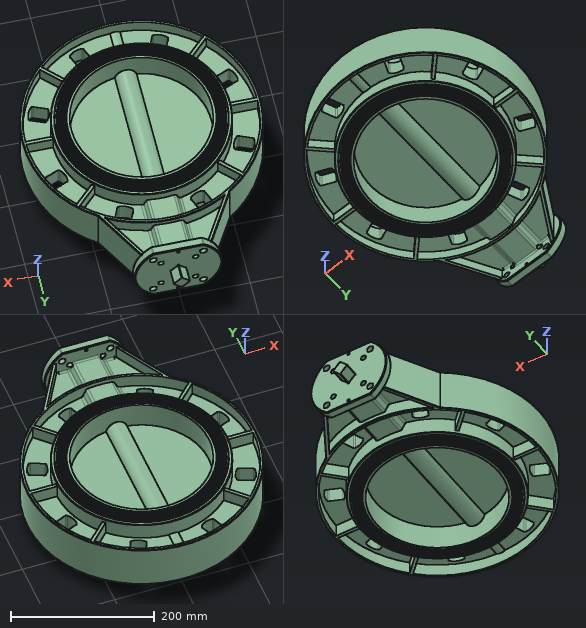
import cadquery as cq
import math


RING_DIAMETER = 339.5
RIM_HALF_HEIGHT = 34.5
RIM_WIDTH = 4.2
WEB_HALF_THICKNESS = 14.5
EDGE_CHAMFER = 1.0

SLEEVE_DIAMETER = 254.0
SLEEVE_HALF_HEIGHT = 40.5

RIB_THICKNESS = 5.0
RIB_ANGLES = (0, 45, 135, 180, 225, 315)

SLOT_COUNT = 8
SLOT_CIRCLE_RADIUS = 145.5
SLOT_LENGTH = 28.8
SLOT_WIDTH = 23.0
SLOT_END_RADIUS = 25.0
SLOT_CORNER_RADIUS = 2.5

LINER_DIAMETER = 244.0
LINER_HALF_HEIGHT = 44.5
LINER_EDGE_CHAMFER = 1.0
BORE_DIAMETER = 200.0
GROOVE_COUNT = 6
GROOVE_PITCH = 2.6
GROOVE_WIDTH = 1.3
GROOVE_DEPTH = 1.3
GROOVES_INNER_RADIUS = 104.5

DISC_THICKNESS = 7.5
HUB_DIAMETER = 32.0

STEM_WIDTH = 17.0
STEM_EDGE_CHAMFER = 1.0
OVERALL_LENGTH = 423.0
STEM_BOTTOM = -139.5

FLANGE_DIAMETER = 124.8
FLANGE_HEIGHT = 102.0
FLANGE_TOP = 231.5
FLANGE_THICKNESS = 13.0
FLANGE_CORNER_RADIUS = 2.5
FLANGE_EDGE_CHAMFER = 1.3
FLANGE_FILLET = 2.5
OUTER_BOLT_OFFSET = 36.0
OUTER_BOLT_DIAMETER = 10.0
INNER_BOLT_OFFSET = 24.75
INNER_BOLT_DIAMETER = 8.0
PIN_HOLE_OFFSET = 45.3
PIN_HOLE_DIAMETER = 4.0

NECK_HALF_HEIGHT = 27.0
NECK_TOP_HALF_WIDTH = 20.5
NECK_FOOT_HALF_WIDTH = 26.2
NECK_FILLET = 4.2
BLEND_HALF_WIDTH = 41.5

WALL_THICKNESS = 5.0
WALL_TOP_HALF_WIDTH = 50.5
WALL_FOOT_HALF_WIDTH = 94.5

PICK_MARGIN = 0.5

RING_RADIUS = RING_DIAMETER / 2
RIM_MIDDLE_RADIUS = RING_RADIUS - RIM_WIDTH / 2
RIM_INNER_RADIUS = RING_RADIUS - RIM_WIDTH
BORE_RADIUS = BORE_DIAMETER / 2
FLANGE_HALF_HEIGHT = FLANGE_HEIGHT / 2
STEM_TOP = OVERALL_LENGTH - RING_RADIUS
FLANGE_BOTTOM = FLANGE_TOP - FLANGE_THICKNESS
WALL_FOOT_Y = math.sqrt(RING_RADIUS**2 - WALL_FOOT_HALF_WIDTH**2)


def disc_of(diameter, half_height):
    """A cylinder about Z, centred on the origin."""
    return cq.Workplane("XY").circle(diameter / 2).extrude(half_height, both=True)


def chamfered_disc(diameter, half_height, chamfer):
    return disc_of(diameter, half_height).faces("<Z or >Z").edges().chamfer(chamfer)


def slab(points, half_height):
    """A polygon in XY, extruded to both sides of the middle plane."""
    return cq.Workplane("XY").polyline(points).close().extrude(half_height, both=True)


def along_y(start, length):
    """A sketch plane across the Y axis at Y = start, and the depth that extrudes it toward +Y."""
    return cq.Workplane("XZ", origin=(0, start, 0)), -length


def stem_bar():
    """The square stem, its edges pointing along X and Z."""
    plane, depth = along_y(STEM_BOTTOM, STEM_TOP - STEM_BOTTOM)
    bar = plane.transformed(rotate=(0, 0, 45)).rect(STEM_WIDTH, STEM_WIDTH).extrude(depth)
    return bar.edges("|Y").chamfer(STEM_EDGE_CHAMFER)


def ring():
    """The web with the rim around it and the sleeve in its middle."""
    web = disc_of(RING_DIAMETER, WEB_HALF_THICKNESS)
    rim = chamfered_disc(RING_DIAMETER, RIM_HALF_HEIGHT, EDGE_CHAMFER)
    rim = rim.cut(disc_of(2 * RIM_INNER_RADIUS, RIM_HALF_HEIGHT))
    sleeve = chamfered_disc(SLEEVE_DIAMETER, SLEEVE_HALF_HEIGHT, EDGE_CHAMFER)
    return web.union(rim).union(sleeve)


def rib(angle):
    """A full-height rib from the axis to the middle of the rim."""
    size = (RIM_MIDDLE_RADIUS, RIB_THICKNESS, 2 * RIM_HALF_HEIGHT)
    bar = cq.Workplane("XY").box(*size, centered=(False, True, True))
    return bar.rotate((0, 0, 0), (0, 0, 1), angle)


def bearing_boss():
    """The round housing of the lower stem end, standing a little above the web."""
    plane, depth = along_y(-RIM_MIDDLE_RADIUS, RIM_MIDDLE_RADIUS)
    return plane.circle(HUB_DIAMETER / 2).extrude(depth)


def bolt_slot(angle):
    """A slot through the web with straight sides and bulging ends, pointing away from the axis."""
    half_width = SLOT_WIDTH / 2
    bulge = SLOT_END_RADIUS - math.sqrt(SLOT_END_RADIUS**2 - half_width**2)
    outer_tip = SLOT_CIRCLE_RADIUS + SLOT_LENGTH / 2
    inner_tip = SLOT_CIRCLE_RADIUS - SLOT_LENGTH / 2
    outline = (
        cq.Workplane("XY")
        .moveTo(inner_tip + bulge, -half_width)
        .lineTo(outer_tip - bulge, -half_width)
        .threePointArc((outer_tip, 0), (outer_tip - bulge, half_width))
        .lineTo(inner_tip + bulge, half_width)
        .threePointArc((inner_tip, 0), (inner_tip + bulge, -half_width))
        .close()
    )
    slot = outline.extrude(RIM_HALF_HEIGHT, both=True)
    return slot.edges("|Z").fillet(SLOT_CORNER_RADIUS).rotate((0, 0, 0), (0, 0, 1), angle)


def neck():
    """The neck with its rounded corners, on a strip of the web."""
    half_profile = [
        (BLEND_HALF_WIDTH, WEB_HALF_THICKNESS),
        (NECK_FOOT_HALF_WIDTH, WEB_HALF_THICKNESS),
        (NECK_TOP_HALF_WIDTH, NECK_HALF_HEIGHT),
    ]
    upper = half_profile + [(-x, z) for x, z in reversed(half_profile)]
    lower = [(-x, -z) for x, z in upper]
    plane, depth = along_y(0, FLANGE_BOTTOM)
    body = plane.polyline(upper + lower).close().extrude(depth)
    corners = cq.selectors.BoxSelector(
        (-NECK_FOOT_HALF_WIDTH - NECK_FILLET, 0, -FLANGE_HALF_HEIGHT),
        (NECK_FOOT_HALF_WIDTH + NECK_FILLET, FLANGE_BOTTOM, FLANGE_HALF_HEIGHT),
    )
    return body.edges("|Y").edges(corners).fillet(NECK_FILLET)


def neck_and_flange():
    """The neck blended into the flange, with the web that fills the space up to the side walls."""
    body = neck().union(flange())
    blend_edges = cq.selectors.BoxSelector(
        (PICK_MARGIN - BLEND_HALF_WIDTH, FLANGE_BOTTOM - PICK_MARGIN, -NECK_HALF_HEIGHT - PICK_MARGIN),
        (BLEND_HALF_WIDTH - PICK_MARGIN, FLANGE_BOTTOM + PICK_MARGIN, NECK_HALF_HEIGHT + PICK_MARGIN),
    )
    body = body.edges(blend_edges).fillet(FLANGE_FILLET)
    return body.union(slab(brace_outline(), WEB_HALF_THICKNESS))


def brace_outline():
    """The area between the ring axis, the side walls and the flange."""
    return [
        (-WALL_FOOT_HALF_WIDTH, WALL_FOOT_Y),
        (-WALL_TOP_HALF_WIDTH, FLANGE_BOTTOM),
        (WALL_TOP_HALF_WIDTH, FLANGE_BOTTOM),
        (WALL_FOOT_HALF_WIDTH, WALL_FOOT_Y),
        (0, 0),
    ]


def side_wall(side):
    """A wall from the ring to the flange; side is +1 or -1."""
    run_x = WALL_FOOT_HALF_WIDTH - WALL_TOP_HALF_WIDTH
    run_y = FLANGE_BOTTOM - WALL_FOOT_Y
    inset = WALL_THICKNESS * math.hypot(run_x, run_y) / run_y
    points = [
        (side * WALL_FOOT_HALF_WIDTH, WALL_FOOT_Y),
        (side * WALL_TOP_HALF_WIDTH, FLANGE_BOTTOM),
        (side * (WALL_TOP_HALF_WIDTH - inset), FLANGE_BOTTOM),
        (side * (WALL_FOOT_HALF_WIDTH - inset), WALL_FOOT_Y),
    ]
    wall = slab(points, RIM_HALF_HEIGHT)
    lengthwise = cq.selectors.ParallelDirSelector(cq.Vector(side * run_x, -run_y, 0))
    outermost = ">X" if side > 0 else "<X"
    return wall.edges(lengthwise).edges(outermost).chamfer(EDGE_CHAMFER)


def flange():
    """A round plate with flats above and below."""
    plane, depth = along_y(FLANGE_BOTTOM, FLANGE_THICKNESS)
    flats = cq.Workplane("XY").box(FLANGE_DIAMETER, 4 * FLANGE_TOP, 2 * FLANGE_HALF_HEIGHT)
    plate = plane.circle(FLANGE_DIAMETER / 2).extrude(depth).intersect(flats)
    plate = plate.edges("|Y").fillet(FLANGE_CORNER_RADIUS)
    return plate.faces("<Y or >Y").edges().chamfer(FLANGE_EDGE_CHAMFER)


def square_pattern(offset, diameter):
    """Four flange holes at the corners of a square."""
    plane, depth = along_y(FLANGE_BOTTOM - FLANGE_FILLET, FLANGE_THICKNESS + FLANGE_FILLET)
    corners = plane.rect(2 * offset, 2 * offset, forConstruction=True).vertices()
    return corners.circle(diameter / 2).extrude(depth)


def pin_holes():
    """Two small holes through the flange, above and below the stem."""
    plane, depth = along_y(FLANGE_BOTTOM, FLANGE_THICKNESS)
    centres = plane.pushPoints([(0, PIN_HOLE_OFFSET), (0, -PIN_HOLE_OFFSET)])
    return centres.circle(PIN_HOLE_DIAMETER / 2).extrude(depth)


def make_housing():
    """Ring, neck, flange and braces in one casting, bored for the liner and the stem."""
    body = ring().union(bearing_boss())
    for angle in RIB_ANGLES:
        body = body.union(rib(angle))
    body = body.union(neck_and_flange())
    for side in (-1, 1):
        body = body.union(side_wall(side))
    for index in range(SLOT_COUNT):
        body = body.cut(bolt_slot((index + 0.5) * 360 / SLOT_COUNT))
    body = body.cut(disc_of(LINER_DIAMETER, LINER_HALF_HEIGHT))
    body = body.cut(square_pattern(OUTER_BOLT_OFFSET, OUTER_BOLT_DIAMETER))
    body = body.cut(square_pattern(INNER_BOLT_OFFSET, INNER_BOLT_DIAMETER))
    body = body.cut(pin_holes())
    return body.cut(stem_bar())


def grooves(side):
    """Concentric square grooves in one face of the liner; side is +1 or -1."""
    ring_centre_z = side * (LINER_HALF_HEIGHT - GROOVE_DEPTH / 2)
    cutter = cq.Workplane("XY")
    for index in range(GROOVE_COUNT):
        inner_radius = GROOVES_INNER_RADIUS + index * GROOVE_PITCH
        groove = (
            cq.Workplane("XY", origin=(0, 0, ring_centre_z))
            .circle(inner_radius + GROOVE_WIDTH)
            .circle(inner_radius)
            .extrude(GROOVE_DEPTH / 2, both=True)
        )
        cutter = cutter.add(groove)
    return cutter.combine()


def make_liner():
    """The sealing sleeve in the housing, with the stem passing through it."""
    body = chamfered_disc(LINER_DIAMETER, LINER_HALF_HEIGHT, LINER_EDGE_CHAMFER)
    body = body.cut(disc_of(BORE_DIAMETER, LINER_HALF_HEIGHT))
    for side in (-1, 1):
        body = body.cut(grooves(side))
    return body.cut(stem_bar())


def make_disc():
    """The closing plate with the round hub that carries the stem."""
    plate = disc_of(BORE_DIAMETER, DISC_THICKNESS / 2)
    plane, depth = along_y(-BORE_RADIUS, BORE_DIAMETER)
    hub = plane.circle(HUB_DIAMETER / 2).extrude(depth)
    hub = hub.intersect(disc_of(BORE_DIAMETER, HUB_DIAMETER))
    return plate.union(hub).cut(stem_bar())


housing = make_housing()
liner = make_liner()
disc = make_disc()
stem = stem_bar()

result = cq.Compound.makeCompound([housing.val(), liner.val(), disc.val(), stem.val()])